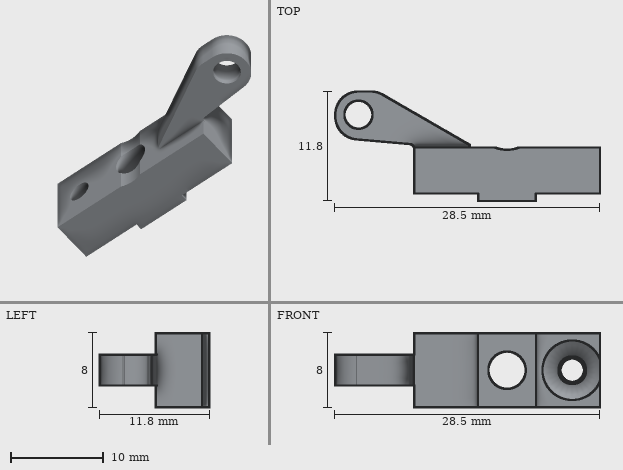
import cadquery as cq
import math

total_length = 28.5
block_length = 20.0
block_depth = 5.0
block_height = 8.0

pad_width = 6.2
pad_rise = 0.8
cross_hole_diameter = 4.0

screw_x = block_length - 3.0
screw_diameter = 2.5
cone_large_diameter = 6.4
cone_small_diameter = 3.0
cone_depth = (cone_large_diameter - cone_small_diameter) / 2

groove_radius = 3.5
groove_depth = 0.25

arm_thickness = 3.33
arm_back_y = 6.0
arm_radius = 2.5
arm_end_flat = 0.17
arm_top_flat = 1.35
eye_diameter = 3.0
lower_angle = math.radians(5)
upper_angle = math.radians(30)
arm_tip_x = 6.05
root_fillet = 0.5
root_overlap = 0.57

block_mid_x = block_length / 2
pad_face_y = -block_depth - pad_rise
eye_x = block_length - total_length + arm_radius
eye_y = arm_back_y - arm_radius


def polar(center, radius, angle):
    """Point on a circle, with the angle in radians from +X."""
    return (center[0] + radius * math.cos(angle), center[1] + radius * math.sin(angle))


def make_block():
    block = cq.Workplane("XY").box(block_length, block_depth, block_height, centered=(False, False, True))
    pad = cq.Workplane("XY").box(pad_width, block_depth + pad_rise, block_height, centered=(True, False, True))
    return block.translate((0, -block_depth, 0)).union(pad.translate((block_mid_x, pad_face_y, 0)))


def make_arm():
    upper_center = (eye_x, eye_y)
    lower_center = (eye_x, eye_y - arm_end_flat)
    shoulder_center = (eye_x + arm_top_flat, eye_y)

    lower_normal = -math.pi / 2 - lower_angle
    upper_normal = math.pi / 2 - upper_angle

    lower_start = polar(lower_center, arm_radius, lower_normal)
    shoulder_end = polar(shoulder_center, arm_radius, upper_normal)

    fillet_x = -root_fillet
    fillet_y = (
        lower_center[1]
        - (fillet_x - eye_x) * math.tan(lower_angle)
        - (arm_radius + root_fillet) / math.cos(lower_angle)
    )
    fillet_center = (fillet_x, fillet_y)
    fillet_start_angle = math.pi / 2 - lower_angle

    tip_y = shoulder_end[1] - (arm_tip_x - shoulder_end[0]) * math.tan(upper_angle)
    tip_root_x = arm_tip_x - (tip_y + root_overlap) * math.tan(upper_angle)

    outline = (
        cq.Workplane("XY", origin=(0, 0, -arm_thickness / 2))
        .moveTo(*polar(upper_center, arm_radius, math.pi))
        .threePointArc(polar(upper_center, arm_radius, 3 * math.pi / 4), (eye_x, arm_back_y))
        .lineTo(shoulder_center[0], arm_back_y)
        .threePointArc(polar(shoulder_center, arm_radius, (math.pi / 2 + upper_normal) / 2), shoulder_end)
        .lineTo(arm_tip_x, tip_y)
        .lineTo(tip_root_x, -root_overlap)
        .lineTo(0, -root_overlap)
        .lineTo(*polar(fillet_center, root_fillet, 0))
        .threePointArc(
            polar(fillet_center, root_fillet, fillet_start_angle / 2),
            polar(fillet_center, root_fillet, fillet_start_angle),
        )
        .lineTo(*lower_start)
        .threePointArc(
            polar(lower_center, arm_radius, (lower_normal - math.pi) / 2),
            polar(lower_center, arm_radius, math.pi),
        )
        .close()
    )
    eye = cq.Workplane("XY").center(eye_x, eye_y).circle(eye_diameter / 2).extrude(arm_thickness, both=True)
    return outline.extrude(arm_thickness).cut(eye)


def hole_along_y(x, diameter):
    """Cylinder running from the pad face through the back face."""
    front = cq.Workplane("XZ", origin=(x, pad_face_y, 0))
    return front.circle(diameter / 2).extrude(pad_face_y)


def make_countersink():
    cone = cq.Solid.makeCone(
        cone_large_diameter / 2,
        cone_small_diameter / 2,
        cone_depth,
        pnt=cq.Vector(screw_x, -block_depth, 0),
        dir=cq.Vector(0, 1, 0),
    )
    return cq.Workplane(obj=cone)


def make_groove():
    axis_y = groove_radius - groove_depth
    groove = cq.Workplane("XY").center(block_mid_x, axis_y).circle(groove_radius)
    return groove.extrude(block_height, both=True)


result = (
    make_block()
    .cut(make_groove())
    .union(make_arm())
    .cut(hole_along_y(block_mid_x, cross_hole_diameter))
    .cut(hole_along_y(screw_x, screw_diameter))
    .cut(make_countersink())
)